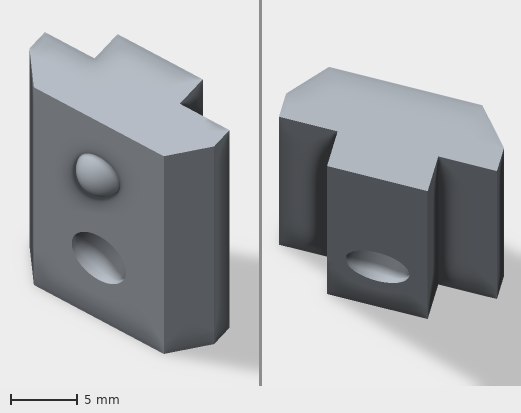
import cadquery as cq

length = 22.5
width = 17.0
tongue_width = 7.85
tongue_height = 3.0
flange_edge = 2.0
bevel_depth = 3.0
bevel_width = 2.52

hole_diameter = 5.0
hole_z = 7.0
ball_radius = 2.05
ball_protrusion = 1.5
ball_z = 16.54

shoulder_y = bevel_depth + flange_edge
back_y = shoulder_y + tongue_height


def make_body():
    """Half of the T profile, mirrored about the YZ plane and extruded."""
    half_width = width / 2
    half_tongue = tongue_width / 2
    return (
        cq.Workplane("XY")
        .moveTo(0, 0)
        .lineTo(half_width - bevel_width, 0)
        .lineTo(half_width, bevel_depth)
        .lineTo(half_width, shoulder_y)
        .lineTo(half_tongue, shoulder_y)
        .lineTo(half_tongue, back_y)
        .lineTo(0, back_y)
        .mirrorY()
        .extrude(length)
    )


def make_hole():
    """Round cutter running through the full depth along Y."""
    return (
        cq.Workplane("XZ", origin=(0, back_y, hole_z))
        .circle(hole_diameter / 2)
        .extrude(back_y)
    )


def make_ball():
    """Ball sunk into the front face, leaving only its cap proud."""
    center_y = ball_radius - ball_protrusion
    return cq.Workplane("XY").sphere(ball_radius).translate((0, center_y, ball_z))


result = make_body().cut(make_hole()).union(make_ball())